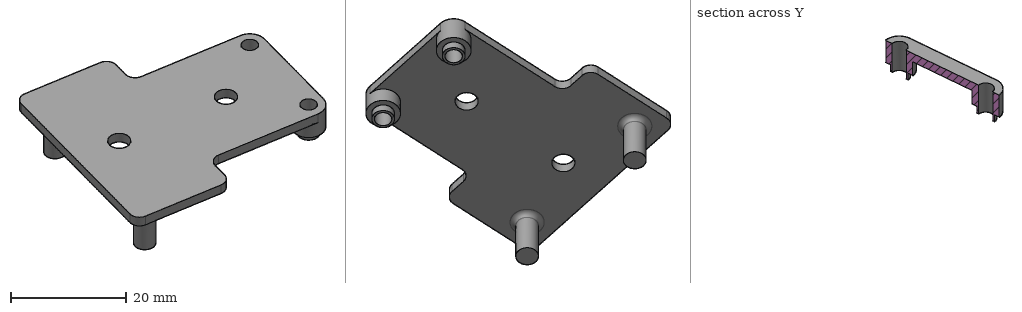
import cadquery as cq

base_width = 39.0
base_depth = 19.55
total_depth = 45.0
thickness = 2.0
base_corner_radius = 2.0
inner_corner_radius = 2.0

boss_radius = 3.0
boss_spacing = 19.0
boss_height = 3.0
boss_tip_radius = 2.0
boss_tip_height = 1.5
boss_hole_diameter = 3.0
tongue_width = boss_spacing + 2 * boss_radius
boss_y = total_depth - boss_radius

peg_radius = 2.0
peg_spacing = 29.0
peg_y = 5.0
total_height = 11.0
peg_flare_radius = 1.0

center_hole_diameter = 4.0
center_hole_ys = (9.0, 31.0)


def mirrored_points(spacing, y):
    return [(-spacing / 2, y), (spacing / 2, y)]


def make_plate():
    base = (
        cq.Workplane("XY", origin=(0, 0, -thickness))
        .rect(base_width, base_depth)
        .extrude(thickness)
        .translate((0, base_depth / 2, 0))
        .edges("|Z")
        .fillet(base_corner_radius)
    )
    tongue = (
        cq.Workplane("XY", origin=(0, total_depth / 2, -thickness))
        .rect(tongue_width, total_depth)
        .extrude(thickness)
        .edges("|Z and >Y")
        .fillet(boss_radius)
    )
    margin = inner_corner_radius / 2
    inner_corners = cq.selectors.BoxSelector(
        (-tongue_width / 2 - margin, base_depth - margin, -thickness),
        (tongue_width / 2 + margin, base_depth + margin, 0),
    )
    return base.union(tongue).edges("|Z").edges(inner_corners).fillet(inner_corner_radius)


def make_post(radius, bottom_depth, centers):
    """Cylinders from the underside of the plate down to the given depth below its top face."""
    return (
        cq.Workplane("XY", origin=(0, 0, -bottom_depth))
        .pushPoints(centers)
        .circle(radius)
        .extrude(bottom_depth - thickness)
    )


def make_peg_flare(center):
    """Concave ring that widens a peg into the underside of the plate."""
    outer_radius = peg_radius + peg_flare_radius
    flare_bottom = -thickness - peg_flare_radius
    arc_reach = peg_flare_radius * (1 - 0.5 ** 0.5)
    return (
        cq.Workplane("XZ")
        .moveTo(0, -thickness)
        .lineTo(outer_radius, -thickness)
        .threePointArc((peg_radius + arc_reach, -thickness - arc_reach), (peg_radius, flare_bottom))
        .lineTo(0, flare_bottom)
        .close()
        .revolve(360, (0, 0, 0), (0, 1, 0))
        .translate((center[0], center[1], 0))
    )


def make_holes(diameter, depth, centers):
    """Cylinders from the top face of the plate down to the given depth."""
    return (
        cq.Workplane("XY", origin=(0, 0, -depth))
        .pushPoints(centers)
        .circle(diameter / 2)
        .extrude(depth)
    )


boss_centers = mirrored_points(boss_spacing, boss_y)
peg_centers = mirrored_points(peg_spacing, peg_y)
boss_bottom = thickness + boss_height
tip_bottom = boss_bottom + boss_tip_height

result = make_plate()
result = result.union(make_post(boss_radius, boss_bottom, boss_centers))
result = result.union(make_post(boss_tip_radius, tip_bottom, boss_centers))
result = result.union(make_post(peg_radius, total_height, peg_centers))
for peg_center in peg_centers:
    result = result.union(make_peg_flare(peg_center))

center_hole_centers = [(0, y) for y in center_hole_ys]
result = result.cut(make_holes(boss_hole_diameter, tip_bottom, boss_centers))
result = result.cut(make_holes(center_hole_diameter, thickness, center_hole_centers))